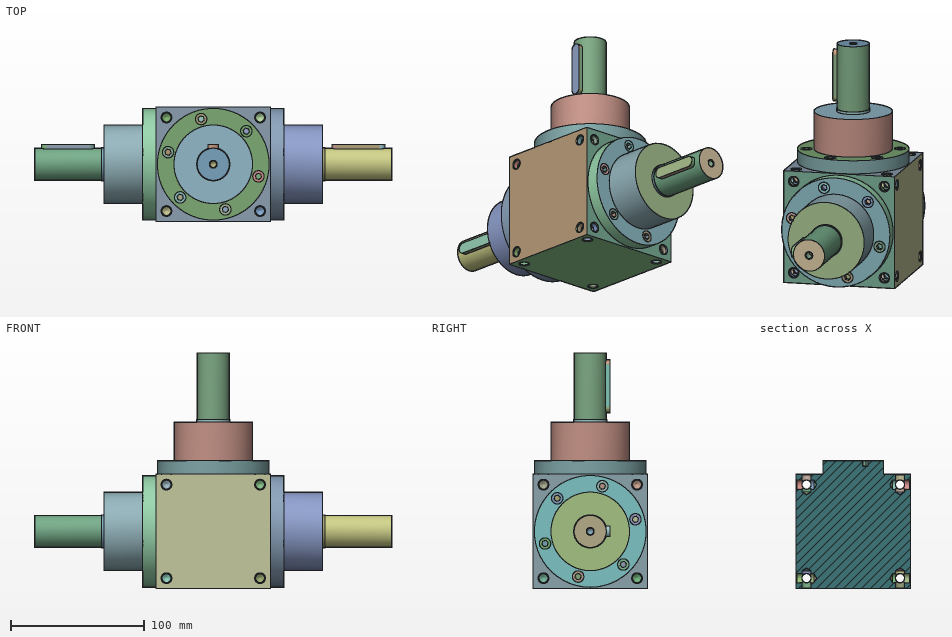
import cadquery as cq
import math

cube_size = 86.0
overall_length = 268.0
shaft_reach = overall_length / 2

flange_diameter = 84.0
flange_reach = 53.0
hub_diameter = 59
hub_reach = 82.0
collar_diameter = 25.0
collar_reach = 84.0
shaft_diameter = 24

center_mouth_diameter = 6.0
center_bore_diameter = 4.8
center_bore_depth = 10.7

screw_count = 6
screw_circle_radius = 35.0
screw_start_angle = 45
head_diameter = 8.5
head_recess = 0.13
socket_sides = 6
socket_corner_diameter = 4.8
socket_depth = 4.0

corner_mouth_diameter = 8.0
corner_bore_diameter = 6.7
corner_hole_offset = 35.0
corner_bore_depth = 13.5
drill_point_angle = 118

key_length = 40.0
key_width = 8.0
key_height = 7.0
key_top = 15.0
key_end_gap = 5.0


def chamfered_hole(mouth_diameter, bore_diameter, bore_depth):
    """Blind hole from the origin toward -Z, with a 45 degree mouth chamfer and a conical point."""
    mouth_radius = mouth_diameter / 2
    bore_radius = bore_diameter / 2
    chamfer_depth = mouth_radius - bore_radius
    point_height = bore_radius / math.tan(math.radians(drill_point_angle / 2))
    profile = [
        (0, 0),
        (mouth_radius, 0),
        (bore_radius, -chamfer_depth),
        (bore_radius, -bore_depth),
        (0, -bore_depth - point_height),
    ]
    return cq.Workplane("XZ").polyline(profile).close().revolve(360, (0, 0, 0), (0, 1, 0))


def to_plus_x(body):
    """Turn a body built along +Z so that it runs along +X, with its +Y side kept."""
    return body.rotate((0, 0, 0), (0, 1, 0), 90)


def to_minus_x(body):
    """Mirror the +X arrangement to the opposite side."""
    return to_plus_x(body).mirror("YZ")


def to_plus_z(body):
    """Leave a body built along +Z as it is."""
    return body


def to_minus_z(body):
    """Mirror a body built along +Z so that it runs along -Z."""
    return body.mirror("XY")


def to_minus_y(body):
    """Turn a body built along +Z so that it runs along -Y."""
    return body.rotate((0, 0, 0), (1, 0, 0), 90)


def to_plus_y(body):
    """Mirror the -Y arrangement to the opposite side."""
    return to_minus_y(body).mirror("XZ")


shaft_directions = [to_plus_z, to_plus_x, to_minus_x]
face_directions = shaft_directions + [to_minus_z, to_minus_y, to_plus_y]


def make_key():
    """Key on the +Y side of a shaft that runs along +Z."""
    middle = shaft_reach - key_end_gap - key_length / 2
    return (
        cq.Workplane("XZ", origin=(0, key_top, middle))
        .slot2D(key_length, key_width, 90)
        .extrude(key_height)
    )


def make_neck():
    """Flange, hub, collar and shaft stacked along +Z from the cube centre."""
    neck = cq.Workplane("XY").circle(flange_diameter / 2).extrude(flange_reach)
    for diameter, reach in [
        (hub_diameter, hub_reach),
        (collar_diameter, collar_reach),
        (shaft_diameter, shaft_reach),
    ]:
        neck = neck.union(cq.Workplane("XY").circle(diameter / 2).extrude(reach))
    return neck


def make_neck_cuts():
    """Centre hole and flange screw recesses for the neck along +Z."""
    center_hole = chamfered_hole(center_mouth_diameter, center_bore_diameter, center_bore_depth)
    cuts = [center_hole.translate((0, 0, shaft_reach))]
    head = cq.Workplane("XY").circle(head_diameter / 2).extrude(-head_recess)
    socket = cq.Workplane("XY").polygon(socket_sides, socket_corner_diameter).extrude(-socket_depth)
    screw = head.union(socket).translate((screw_circle_radius, 0, flange_reach))
    for index in range(screw_count):
        angle = screw_start_angle + index * 360 / screw_count
        cuts.append(screw.rotate((0, 0, 0), (0, 0, 1), angle))
    return cuts


def make_corner_holes():
    """Four blind holes in the +Z face of the cube."""
    hole = chamfered_hole(corner_mouth_diameter, corner_bore_diameter, corner_bore_depth)
    return [
        hole.translate((x, y, cube_size / 2))
        for x in (-corner_hole_offset, corner_hole_offset)
        for y in (-corner_hole_offset, corner_hole_offset)
    ]


def make_gearbox(fitted_keys):
    """Cube with its three necks, all holes, and a fitted seat for each key."""
    gearbox = cq.Workplane("XY").box(cube_size, cube_size, cube_size)
    for turn in shaft_directions:
        gearbox = gearbox.union(turn(make_neck()))
    cuts = list(fitted_keys)
    for turn in shaft_directions:
        cuts += [turn(cut) for cut in make_neck_cuts()]
    for turn in face_directions:
        cuts += [turn(hole) for hole in make_corner_holes()]
    return cq.Workplane(gearbox.val().cut(*[cut.val() for cut in cuts])).solids()


keys = [turn(make_key()) for turn in shaft_directions]
gearbox = make_gearbox(keys)

result = cq.Compound.makeCompound([gearbox.val(), *[key.val() for key in keys]])